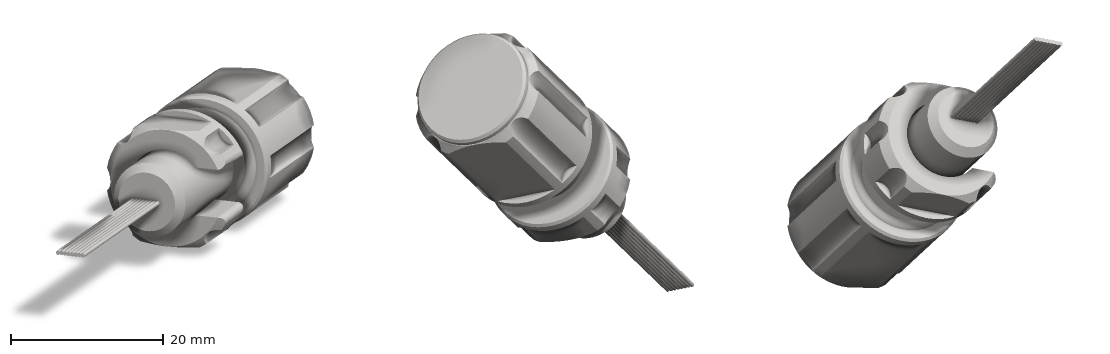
import cadquery as cq
import math

TOTAL_LENGTH = 65.55
OUTER_DIAMETER = 18.0
OUTER_RADIUS = OUTER_DIAMETER / 2

FLAT_HEIGHT = 8.0
GROOVE_HALF_WIDTH = 1.5
GROOVE_STEP = 45
FLAT_ANGLES = (90, 270)
GROOVE_ANGLES = [a for a in range(0, 360, GROOVE_STEP) if a not in FLAT_ANGLES]
GROOVE_FLOOR_RADIUS = 8.0
BEVEL = 1.05
EDGE_BREAK = 0.3

CAP_RADIUS = 7.85
CAP_LENGTH = 1.0
FLANGE_START = 17.5
KNOB_END = 19.0
NECK_END = 21.0
SHAFT_END = 39.0
NECK_RADIUS = 4.25
SHAFT_RADIUS = 5.05
SHAFT_BEVEL = 1.05

BEAD_RADIUS = 6.7
BEAD_HALF_WIDTH = 0.8
BEAD_HEIGHT = 0.4

WIRE_COUNT = 8
WIRE_PITCH = 0.5
WIRE_RADIUS = 0.295
CABLE_OFFSET = -0.2

NUT_START = 25.0
NUT_END = 32.0
NUT_FLANGE_WIDTH = 1.5
SLOT_HALF_WIDTH = 3.3
BORE_DRAFT = 0.25
MOUTH_FILLET = 0.8


def revolve_profile(points):
    """Solid of revolution about Y from (radius, distance from the cap end) corners."""
    corners = [(radius, -distance) for radius, distance in points]
    return cq.Workplane("XY").polyline(corners).close().revolve(360, (0, 0), (0, 1))


def along_axis(start):
    """Workplane across the axis; local x is X, local y is Z, and it extrudes to -Y."""
    return cq.Workplane("XZ", origin=(0, -start, 0))


def grip_cutter(start, end):
    """Material to remove from a round grip: two flats and the grooves between them."""
    length = end - start
    depth = math.sqrt(OUTER_RADIUS**2 - GROOVE_HALF_WIDTH**2) - GROOVE_FLOOR_RADIUS
    groove_radius = (GROOVE_HALF_WIDTH**2 + depth**2) / (2 * depth)
    groove_centre = GROOVE_FLOOR_RADIUS + groove_radius
    grooves = [
        (groove_centre * math.cos(math.radians(a)), groove_centre * math.sin(math.radians(a)))
        for a in GROOVE_ANGLES
    ]
    cutter = along_axis(start).pushPoints(grooves).circle(groove_radius).extrude(length)
    flat_centre = FLAT_HEIGHT + OUTER_RADIUS / 2
    flats = (
        along_axis(start)
        .pushPoints([(0, flat_centre), (0, -flat_centre)])
        .rect(OUTER_DIAMETER, OUTER_RADIUS)
        .extrude(length)
    )
    return cutter.union(flats)


def make_knob():
    blank = revolve_profile([
        (0, CAP_LENGTH),
        (OUTER_RADIUS - BEVEL, CAP_LENGTH),
        (OUTER_RADIUS, CAP_LENGTH + BEVEL),
        (OUTER_RADIUS, KNOB_END - EDGE_BREAK),
        (OUTER_RADIUS - EDGE_BREAK, KNOB_END),
        (0, KNOB_END),
    ])
    return blank.cut(grip_cutter(CAP_LENGTH, FLANGE_START))


def make_cap():
    return revolve_profile([
        (0, 0),
        (CAP_RADIUS - EDGE_BREAK, 0),
        (CAP_RADIUS, EDGE_BREAK),
        (CAP_RADIUS, CAP_LENGTH),
        (0, CAP_LENGTH),
    ])


def make_bead():
    crest = (BEAD_RADIUS, -KNOB_END - BEAD_HEIGHT)
    return (
        cq.Workplane("XY")
        .moveTo(BEAD_RADIUS - BEAD_HALF_WIDTH, -KNOB_END)
        .threePointArc(crest, (BEAD_RADIUS + BEAD_HALF_WIDTH, -KNOB_END))
        .close()
        .revolve(360, (0, 0), (0, 1))
    )


def make_shaft():
    return revolve_profile([
        (0, KNOB_END),
        (NECK_RADIUS, KNOB_END),
        (NECK_RADIUS, NECK_END),
        (SHAFT_RADIUS, NECK_END),
        (SHAFT_RADIUS, SHAFT_END - SHAFT_BEVEL),
        (SHAFT_RADIUS - SHAFT_BEVEL, SHAFT_END),
        (0, SHAFT_END),
    ])


def make_wire(x):
    return along_axis(SHAFT_END).center(x, 0).circle(WIRE_RADIUS).extrude(TOTAL_LENGTH - SHAFT_END)


def make_cable():
    """Ribbon of round wires side by side, each overlapping its neighbour a little."""
    first = CABLE_OFFSET - (WIRE_COUNT - 1) * WIRE_PITCH / 2
    cable = make_wire(first)
    for i in range(1, WIRE_COUNT):
        cable = cable.union(make_wire(first + i * WIRE_PITCH))
    return cable


def make_connector():
    """Cap, knob, shaft and cable as one solid."""
    return make_cap().union(make_knob()).union(make_bead()).union(make_shaft()).union(make_cable())


def make_nut():
    """Slotted ring whose bore meets the shaft at the end facing the knob."""
    length = NUT_END - NUT_START
    narrow_half = SLOT_HALF_WIDTH - BORE_DRAFT
    bore = revolve_profile([
        (0, NUT_START),
        (SHAFT_RADIUS, NUT_START),
        (SHAFT_RADIUS + BORE_DRAFT, NUT_END),
        (0, NUT_END),
    ])
    slot = (
        cq.Workplane("YZ")
        .polyline([
            (-NUT_START, narrow_half),
            (-NUT_END, SLOT_HALF_WIDTH),
            (-NUT_END, -SLOT_HALF_WIDTH),
            (-NUT_START, -narrow_half),
        ])
        .close()
        .extrude(OUTER_RADIUS)
    )
    ring = along_axis(NUT_START).circle(OUTER_RADIUS).extrude(length).cut(bore).cut(slot)
    ring = ring.faces("%CYLINDER").edges("not %CIRCLE").fillet(MOUTH_FILLET)
    envelope = revolve_profile([
        (0, NUT_START),
        (OUTER_RADIUS - EDGE_BREAK, NUT_START),
        (OUTER_RADIUS, NUT_START + EDGE_BREAK),
        (OUTER_RADIUS, NUT_END - BEVEL),
        (OUTER_RADIUS - BEVEL, NUT_END),
        (0, NUT_END),
    ])
    return ring.intersect(envelope).cut(grip_cutter(NUT_START + NUT_FLANGE_WIDTH, NUT_END))


connector = make_connector().solids()
nut = make_nut().solids()
result = cq.Compound.makeCompound([connector.val(), nut.val()])